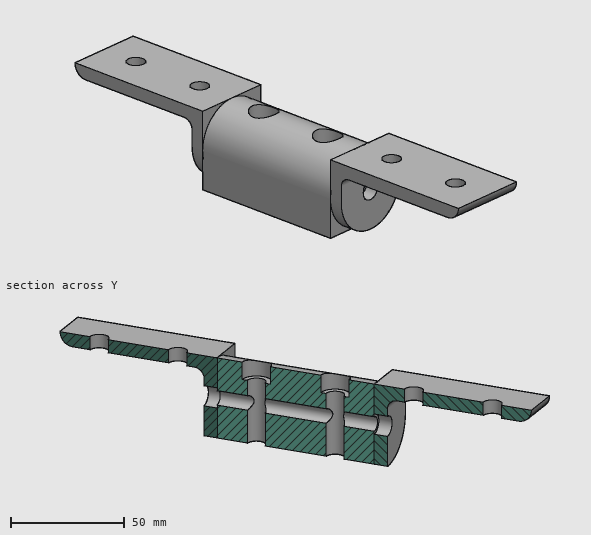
import cadquery as cq
import math

total_length = 228.5
leaf_length = total_length / 3
block_length = total_length / 3
width = total_length / 6
radius = width / 2
plate = 6.5
inner_fillet = 4.5
hole_pitch = width
leaf_hole_diameter = 8.7
block_hole_diameter = 8.5
counterbore_diameter = 13.5
counterbore_depth = 8.2
leaf_axis_hole_diameter = 9.4
block_axis_hole_diameter = 6.6


def axis_hole(diameter):
    """Cylinder along the hinge axis, longer than the whole hinge."""
    return cq.Workplane("YZ").circle(diameter / 2).extrude(total_length, both=True)


def vertical_holes(positions, diameter):
    """Through-hole cutters along Z at the given X positions."""
    points = [(x, 0) for x in positions]
    return cq.Workplane("XY").pushPoints(points).circle(diameter / 2).extrude(width, both=True)


def make_block():
    """Centre block: square below the hinge axis, half round above."""
    block = (
        cq.Workplane("YZ", origin=(-block_length / 2, 0, 0))
        .moveTo(-radius, -radius)
        .lineTo(radius, -radius)
        .lineTo(radius, 0)
        .threePointArc((0, radius), (-radius, 0))
        .close()
        .extrude(block_length)
    )
    hole_positions = (-hole_pitch / 2, hole_pitch / 2)
    counterbores = (
        cq.Workplane("XY", origin=(0, 0, radius - counterbore_depth))
        .pushPoints([(x, 0) for x in hole_positions])
        .circle(counterbore_diameter / 2)
        .extrude(counterbore_depth)
    )
    return (
        block.cut(axis_hole(block_axis_hole_diameter))
        .cut(vertical_holes(hole_positions, block_hole_diameter))
        .cut(counterbores)
    )


def make_leaf(side):
    """L-shaped leaf at the +X (side = 1) or -X (side = -1) end of the block."""
    inner_x = side * block_length / 2
    tip_x = inner_x + side * leaf_length
    outer_knuckle_x = inner_x + side * plate
    underside = radius - plate
    tip_arc_x = tip_x - side * plate * (1 - math.sqrt(0.5))
    tip_arc_z = radius - plate * math.sqrt(0.5)
    leaf = (
        cq.Workplane("XZ")
        .moveTo(inner_x, radius)
        .lineTo(tip_x, radius)
        .threePointArc((tip_arc_x, tip_arc_z), (tip_x - side * plate, underside))
        .lineTo(outer_knuckle_x, underside)
        .lineTo(outer_knuckle_x, -radius)
        .lineTo(inner_x, -radius)
        .close()
        .extrude(radius, both=True)
        .edges(cq.selectors.NearestToPointSelector((outer_knuckle_x, 0, underside)))
        .fillet(inner_fillet)
    )
    envelope = (
        cq.Workplane("YZ")
        .moveTo(-radius, radius)
        .lineTo(-radius, 0)
        .threePointArc((0, -radius), (radius, 0))
        .lineTo(radius, radius)
        .close()
        .extrude(total_length, both=True)
    )
    middle = inner_x + side * leaf_length / 2
    hole_positions = (middle - hole_pitch / 2, middle + hole_pitch / 2)
    return (
        leaf.intersect(envelope)
        .cut(axis_hole(leaf_axis_hole_diameter))
        .cut(vertical_holes(hole_positions, leaf_hole_diameter))
    )


block = make_block()
leaves = [make_leaf(side) for side in (-1, 1)]

result = cq.Compound.makeCompound([block.val(), *[leaf.val() for leaf in leaves]])